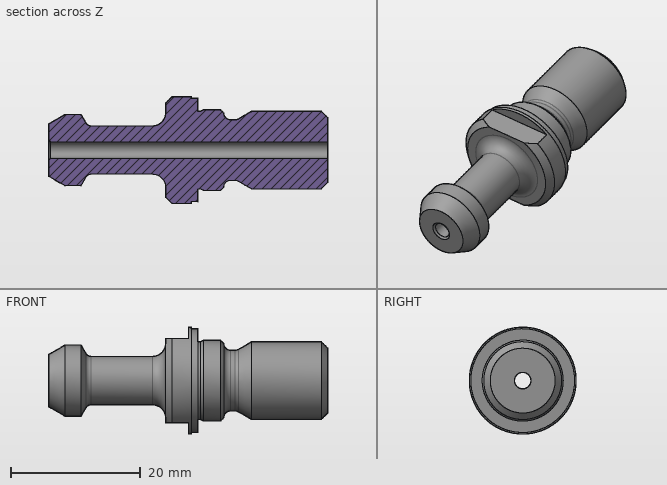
import cadquery as cq
import math


head_diameter = 11.0
head_nose_length = 2.5
head_nose_angle = math.radians(30)
head_rear_x = 5.0
head_rear_angle = math.radians(60)

neck_diameter = 7.5
neck_head_fillet = 0.85
neck_flange_fillet = 2.0

flange_front_x = 18.0
flange_diameter = 16.5
flange_chamfer = 1.0
flange_rear_x = 22.0
flat_end_x = 21.5
across_flats = 13.0

rim_diameter = 16.0
rim_rear_x = 23.0

land_diameter = 12.0
land_end_x = 23.35
collar_diameter = 12.5
collar_lead_length = 0.5
collar_rear_x = 27.0

relief_diameter = 9.4
relief_fillet = 1.0
relief_cone_angle = math.radians(30)
collar_rear_chamfer = (collar_diameter - relief_diameter) / 2 - relief_fillet

shank_diameter = 12.0
shank_start_x = 31.25
shank_chamfer = 1.0
total_length = 43.0

bore_diameter = 2.5
bore_chamfer = 0.3


def add_head(profile):
    """Nose cone and cylinder of the head, then its rear cone blended into the neck."""
    head_radius = head_diameter / 2
    neck_radius = neck_diameter / 2
    nose_radius = head_radius - head_nose_length * math.tan(head_nose_angle)

    blend_start_radius = neck_radius + neck_head_fillet * (1 - math.cos(head_rear_angle))
    blend_start_x = head_rear_x + (head_radius - blend_start_radius) / math.tan(head_rear_angle)
    blend_end_x = blend_start_x + neck_head_fillet * math.sin(head_rear_angle)
    half_angle = head_rear_angle / 2
    blend_middle = (
        blend_end_x - neck_head_fillet * math.sin(half_angle),
        neck_radius + neck_head_fillet * (1 - math.cos(half_angle)),
    )
    return (
        profile.lineTo(0, nose_radius)
        .lineTo(head_nose_length, head_radius)
        .lineTo(head_rear_x, head_radius)
        .lineTo(blend_start_x, blend_start_radius)
        .threePointArc(blend_middle, (blend_end_x, neck_radius))
    )


def add_flange(profile):
    """Neck, its quarter-round into the flange face, the flange and the rim."""
    neck_radius = neck_diameter / 2
    flange_radius = flange_diameter / 2
    rim_radius = rim_diameter / 2
    fillet_start_x = flange_front_x - neck_flange_fillet
    fillet_end_radius = neck_radius + neck_flange_fillet
    fillet_middle = (
        fillet_start_x + neck_flange_fillet * math.sin(math.pi / 4),
        fillet_end_radius - neck_flange_fillet * math.cos(math.pi / 4),
    )
    return (
        profile.lineTo(fillet_start_x, neck_radius)
        .threePointArc(fillet_middle, (flange_front_x, fillet_end_radius))
        .lineTo(flange_front_x, flange_radius - flange_chamfer)
        .lineTo(flange_front_x + flange_chamfer, flange_radius)
        .lineTo(flange_rear_x, flange_radius)
        .lineTo(flange_rear_x, rim_radius)
        .lineTo(rim_rear_x, rim_radius)
    )


def add_collar(profile):
    """Land, lead-in cone, pilot collar and its rear chamfer."""
    land_radius = land_diameter / 2
    collar_radius = collar_diameter / 2
    return (
        profile.lineTo(rim_rear_x, land_radius)
        .lineTo(land_end_x, land_radius)
        .lineTo(land_end_x + collar_lead_length, collar_radius)
        .lineTo(collar_rear_x - collar_rear_chamfer, collar_radius)
        .lineTo(collar_rear_x, collar_radius - collar_rear_chamfer)
    )


def add_relief(profile):
    """Relief groove: quarter-round, straight floor, and a blend into the shank cone."""
    relief_radius = relief_diameter / 2
    shank_radius = shank_diameter / 2
    floor_start_x = collar_rear_x + relief_fillet
    fillet_top_radius = relief_radius + relief_fillet
    fillet_middle = (
        floor_start_x - relief_fillet * math.sin(math.pi / 4),
        fillet_top_radius - relief_fillet * math.cos(math.pi / 4),
    )

    cone_start_radius = relief_radius + relief_fillet * (1 - math.cos(relief_cone_angle))
    cone_start_x = shank_start_x - (shank_radius - cone_start_radius) / math.tan(relief_cone_angle)
    floor_end_x = cone_start_x - relief_fillet * math.sin(relief_cone_angle)
    half_angle = relief_cone_angle / 2
    blend_middle = (
        floor_end_x + relief_fillet * math.sin(half_angle),
        relief_radius + relief_fillet * (1 - math.cos(half_angle)),
    )
    return (
        profile.threePointArc(fillet_middle, (floor_start_x, relief_radius))
        .lineTo(floor_end_x, relief_radius)
        .threePointArc(blend_middle, (cone_start_x, cone_start_radius))
        .lineTo(shank_start_x, shank_radius)
    )


def add_shank(profile):
    """Plain shank with an end chamfer, closed down to the axis."""
    shank_radius = shank_diameter / 2
    return (
        profile.lineTo(total_length - shank_chamfer, shank_radius)
        .lineTo(total_length, shank_radius - shank_chamfer)
        .lineTo(total_length, 0)
        .close()
    )


def make_body():
    profile = cq.Workplane("XY").moveTo(0, 0)
    for add_section in (add_head, add_flange, add_collar, add_relief, add_shank):
        profile = add_section(profile)
    return profile.revolve(360, (0, 0, 0), (1, 0, 0))


def cut_wrench_flats(body):
    """Two flats, above and below the axis, open towards the head."""
    flat_length = flat_end_x - flange_front_x
    flat_depth = (flange_diameter - across_flats) / 2
    for side in (1, -1):
        cutter = cq.Workplane("XY").box(flat_length, flange_diameter, flat_depth).translate(
            (flange_front_x + flat_length / 2, 0, side * (across_flats + flat_depth) / 2)
        )
        body = body.cut(cutter)
    return body


def cut_bore(body):
    """Through hole with a 45 degree chamfer at the head end."""
    bore_radius = bore_diameter / 2
    cutter = (
        cq.Workplane("XY")
        .lineTo(0, bore_radius + bore_chamfer)
        .lineTo(bore_chamfer, bore_radius)
        .lineTo(total_length, bore_radius)
        .lineTo(total_length, 0)
        .close()
        .revolve(360, (0, 0, 0), (1, 0, 0))
    )
    return body.cut(cutter)


result = cut_bore(cut_wrench_flats(make_body()))